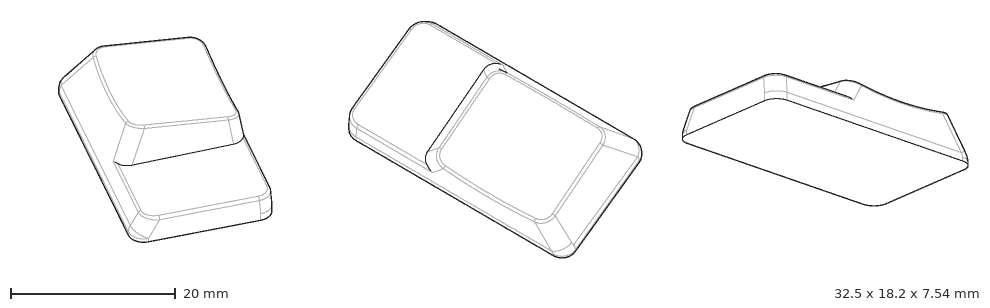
import cadquery as cq
import math

LENGTH = 32.45
WIDTH = 18.17
SKIRT_HEIGHT = 1.05

WALL_RADIUS = 1.95

FRONT_LEAN = 0.555
BACK_LEAN = 0.08

STEP_TOP = 3.5
TOP_EDGE_RADIUS = 0.4

CAP_LENGTH = 22.97
CAP_SIDE_INSET = 3.25
CAP_FRONT_HEIGHT = 7.8
TILT_DEGREES = 6.4
DISH_RADIUS = 41.2
DISH_FRONT_HEIGHT = 6.88
DISH_OVERRUN = 16.22

CAP_MIDDLE = CAP_LENGTH / 2
TILT_SLOPE = math.tan(math.radians(TILT_DEGREES))
CAP_FRONT_Y = FRONT_LEAN * (CAP_FRONT_HEIGHT - SKIRT_HEIGHT)


def cap_level(y):
    """Height of the tilted top plane at depth y."""
    return CAP_FRONT_HEIGHT - TILT_SLOPE * (y - CAP_FRONT_Y)


def skirt_level(y):
    """Height of the level skirt top, the same at every depth."""
    return SKIRT_HEIGHT


def four_corners(x_min, x_max, y_min, y_max, height_at):
    """Corners of a rectangle in plan, lifted to height_at(y)."""
    plan = [(x_min, y_min), (x_max, y_min), (x_max, y_max), (x_min, y_max)]
    return [cq.Vector(x, y, height_at(y)) for x, y in plan]


def flat_face(points):
    return cq.Face.makeFromWires(cq.Wire.makePolygon(points, close=True))


def make_cap_block():
    """Sharp-edged upper cap: flat front and back, slightly twisted left and right walls."""
    rise_at_rear = cap_level(WIDTH) - SKIRT_HEIGHT
    back_inset = BACK_LEAN * rise_at_rear / (1 - BACK_LEAN * TILT_SLOPE)
    foot = four_corners(0, CAP_LENGTH, 0, WIDTH, skirt_level)
    top = four_corners(
        CAP_SIDE_INSET, CAP_LENGTH - CAP_SIDE_INSET, CAP_FRONT_Y, WIDTH - back_inset, cap_level)

    def twisted_wall(start, end):
        return cq.Face.makeRuledSurface(
            cq.Edge.makeLine(foot[start], foot[end]), cq.Edge.makeLine(top[start], top[end]))

    front_left, front_right, back_right, back_left = range(4)
    walls = [
        flat_face([foot[front_left], foot[front_right], top[front_right], top[front_left]]),
        twisted_wall(front_right, back_right),
        flat_face([foot[back_right], foot[back_left], top[back_left], top[back_right]]),
        twisted_wall(back_left, front_left),
    ]
    shell = cq.Shell.makeShell(walls + [flat_face(foot), flat_face(top)])
    return cq.Workplane(cq.Solid.makeSolid(shell).fix())


def make_step():
    rise = STEP_TOP - SKIRT_HEIGHT
    profile = [
        (0, 0),
        (WIDTH, 0),
        (WIDTH, SKIRT_HEIGHT),
        (WIDTH - BACK_LEAN * rise, STEP_TOP),
        (FRONT_LEAN * rise, STEP_TOP),
        (0, SKIRT_HEIGHT),
    ]
    step = (
        cq.Workplane("YZ", origin=(CAP_MIDDLE, 0, 0))
        .polyline(profile)
        .close()
        .extrude(LENGTH - CAP_MIDDLE)
    )
    bends = step.faces("<Y or >Y").edges("|X and (not <Z)")
    step = bends.fillet(WALL_RADIUS)
    corner_edges = step.faces(">X").edges("<Y or >Y")
    step = corner_edges.fillet(WALL_RADIUS)
    return step.faces(">Z").edges("not <X").fillet(TOP_EDGE_RADIUS)


def make_dish_cutter():
    """Tilted cylinder that hollows the cap top from side to side."""
    tilt = math.radians(TILT_DEGREES)
    along = cq.Vector(0, math.cos(tilt), -math.sin(tilt))
    normal = cq.Vector(0, math.sin(tilt), math.cos(tilt))
    dish_bottom = cq.Vector(CAP_MIDDLE, CAP_FRONT_Y, DISH_FRONT_HEIGHT)
    start = dish_bottom + normal * DISH_RADIUS - along * DISH_OVERRUN
    return cq.Workplane(cq.Solid.makeCylinder(DISH_RADIUS, WIDTH + 2 * DISH_OVERRUN, start, along))


def make_cap():
    skirt = cq.Workplane("XY").box(CAP_LENGTH, WIDTH, SKIRT_HEIGHT, centered=False)
    sharp_cap = skirt.union(make_cap_block())
    top_rim = sharp_cap.faces(">Z").edges().vals()
    foot_rim = sharp_cap.faces("<Z").edges().vals()
    wall_edges = [
        edge for edge in sharp_cap.edges().vals()
        if not any(edge.isSame(rim_edge) for rim_edge in top_rim + foot_rim)
    ]
    cap = sharp_cap.newObject(wall_edges).fillet(WALL_RADIUS).cut(make_dish_cutter())
    return cap.faces(">Z").edges().fillet(TOP_EDGE_RADIUS)


result = make_step().union(make_cap())